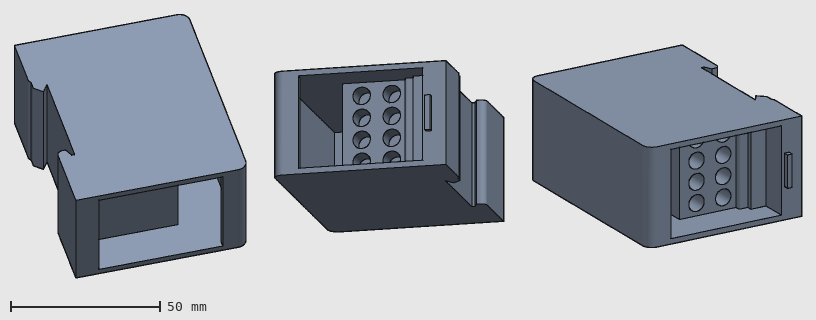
import cadquery as cq
import math

TOTAL_LENGTH = 80.0
TAB_LENGTH = 2.0
LENGTH = TOTAL_LENGTH - TAB_LENGTH
DEPTH = 60.0
HEIGHT = 36.0
WALL = 2.0
CORNER_RADIUS = 3.6

RAIL_EDGE_ROUND = 2.0
RECESS_DEPTH = 5.5
RECESS_START = 21.2
RECESS_END = 56.4
LATCH_RELIEF = 0.6
LATCH_HEEL_X = 17.4
LATCH_NOSE_X = 21.8
LATCH_NOSE_ROUND = 0.7
LATCH_TIP = (24.3, 3.4)
HOOK_X = 53.5
HOOK_TOP = 3.1
HOOK_THROAT = 4.5

INNER_HEIGHT = HEIGHT - 2 * WALL
WINDOW_BOTTOM = 8.0
WINDOW_TOP = 51.0
CAVITY_TOP = DEPTH - WALL

BLOCK_TOP = 39.4
BLOCK_INSET = 14.0
STEP_TOP = 17.4
STEP_PROUD = 2.0
STEP_ROUND = 1.0
LEDGE_TOP = 13.9
LEDGE_PROUD = 2 * STEP_PROUD

HOLE_DIAMETER = 6.0
HOLE_DEPTH = 8.0
HOLE_COLUMNS = 2
HOLE_ROWS = 4
HOLE_COLUMN_PITCH = 10.4
HOLE_ROW_PITCH = 7.6
HOLE_CENTRE_Y = 27.5

TAB_WIDTH = 1.8
TAB_BOTTOM = 5.0
TAB_HEIGHT = 12.0


def slab(x_start, x_end, y_start, y_end, height):
    """Box between two X and two Y positions, centred on mid-height."""
    return (
        cq.Workplane("XY")
        .box(x_end - x_start, y_end - y_start, height, centered=(False, False, True))
        .translate((x_start, y_start, 0))
    )


def make_shell():
    """Outer housing with the rail latch and hook in its profile."""
    heel_run = math.sqrt(RAIL_EDGE_ROUND**2 - (RAIL_EDGE_ROUND - LATCH_RELIEF) ** 2)
    outline = (
        cq.Workplane("XY")
        .workplane(offset=-HEIGHT / 2)
        .moveTo(0, 0)
        .lineTo(LATCH_HEEL_X, 0)
        .radiusArc((LATCH_HEEL_X + heel_run, LATCH_RELIEF), -RAIL_EDGE_ROUND)
        .lineTo(LATCH_NOSE_X, LATCH_RELIEF)
        .lineTo(*LATCH_TIP)
        .lineTo(RECESS_START, RECESS_DEPTH)
        .lineTo(RECESS_END, RECESS_DEPTH)
        .lineTo(RECESS_END, HOOK_THROAT)
        .lineTo(HOOK_X, HOOK_TOP)
        .lineTo(HOOK_X, RAIL_EDGE_ROUND)
        .radiusArc((HOOK_X + RAIL_EDGE_ROUND, 0), -RAIL_EDGE_ROUND)
        .lineTo(LENGTH, 0)
        .lineTo(LENGTH, DEPTH)
        .lineTo(0, DEPTH)
        .close()
    )
    shell = outline.extrude(HEIGHT)
    shell = shell.edges("|Z and >Y").fillet(CORNER_RADIUS)
    nose_edge = cq.selectors.NearestToPointSelector((LATCH_NOSE_X, LATCH_RELIEF, 0))
    return shell.edges("|Z").edges(nose_edge).fillet(LATCH_NOSE_ROUND)


def make_block():
    """Stepped terminal block spanning the cavity, with blind wire holes."""
    block = slab(BLOCK_INSET, LENGTH - BLOCK_INSET, WINDOW_BOTTOM, BLOCK_TOP, INNER_HEIGHT)
    holes = (
        cq.Workplane("YZ", origin=(BLOCK_INSET, HOLE_CENTRE_Y, 0))
        .rarray(HOLE_COLUMN_PITCH, HOLE_ROW_PITCH, HOLE_COLUMNS, HOLE_ROWS)
        .circle(HOLE_DIAMETER / 2)
        .extrude(HOLE_DEPTH)
    )
    step = slab(BLOCK_INSET - STEP_PROUD, BLOCK_INSET, WINDOW_BOTTOM, STEP_TOP, INNER_HEIGHT)
    step = step.edges("|Z and <X and >Y").fillet(STEP_ROUND)
    ledge = slab(BLOCK_INSET - LEDGE_PROUD, BLOCK_INSET, WINDOW_BOTTOM, LEDGE_TOP, INNER_HEIGHT)
    return block.cut(holes).union(step).union(ledge)


cavity = slab(WALL, LENGTH - WALL, WINDOW_BOTTOM, CAVITY_TOP, INNER_HEIGHT)
windows = slab(0, LENGTH, WINDOW_BOTTOM, WINDOW_TOP, INNER_HEIGHT)
tab = slab(-TAB_LENGTH, 0, TAB_BOTTOM, TAB_BOTTOM + TAB_WIDTH, TAB_HEIGHT)

result = make_shell().cut(cavity).cut(windows).union(make_block()).union(tab)